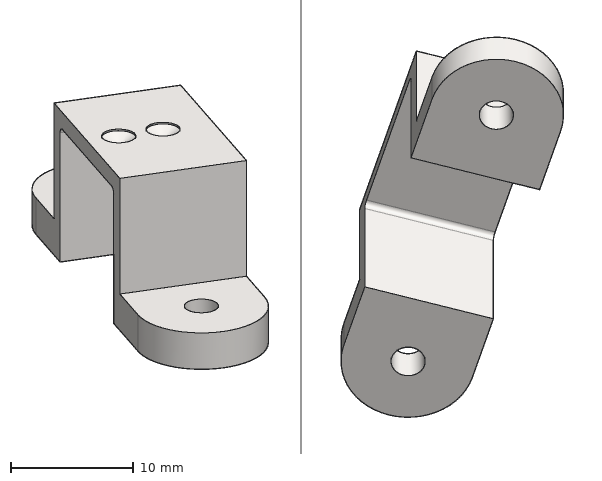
import cadquery as cq
import math

length = 36.25
width = 11.0
height = 13.6

bridge_length = 16.28
wall = 1.52
inner_fillet = 0.5

foot_height = 3.25
end_radius = width / 2
hole_diameter = 2.8
hole_spacing = length - 2 * end_radius

dimple_diameter = 2.8
dimple_rim_depth = 0.15
drill_point_angle = 118.0
dimple_centres = [(-0.15, 1.15), (-0.05, -2.72)]


def make_feet():
    """Round-ended base strip that carries both mounting feet."""
    return cq.Workplane("XY").slot2D(length, width).extrude(foot_height)


def make_bridge():
    """Solid block for the raised middle."""
    return cq.Workplane("XY").box(bridge_length, width, height, centered=(True, True, False))


def make_channel():
    """Clearance under the bridge, with rounded upper corners."""
    channel = cq.Workplane("XY").box(
        bridge_length - 2 * wall, width, height - wall, centered=(True, True, False)
    )
    return channel.faces(">Z").edges("|Y").fillet(inner_fillet)


def make_mounting_holes():
    """Through holes concentric with the rounded ends."""
    centres = [(-hole_spacing / 2, 0), (hole_spacing / 2, 0)]
    return cq.Workplane("XY").pushPoints(centres).circle(hole_diameter / 2).extrude(foot_height)


def make_dimple(x, y):
    """Shallow drilled hole: a short straight rim above a conical bottom."""
    radius = dimple_diameter / 2
    cone_depth = radius / math.tan(math.radians(drill_point_angle / 2))
    cone_top = height - dimple_rim_depth
    profile = (
        cq.Workplane("XZ")
        .moveTo(0, cone_top - cone_depth)
        .lineTo(radius, cone_top)
        .lineTo(radius, height)
        .lineTo(0, height)
        .close()
    )
    return profile.revolve(360, (0, 0, 0), (0, 1, 0)).translate((x, y, 0))


result = make_feet().union(make_bridge()).cut(make_channel()).cut(make_mounting_holes())
for centre_x, centre_y in dimple_centres:
    result = result.cut(make_dimple(centre_x, centre_y))